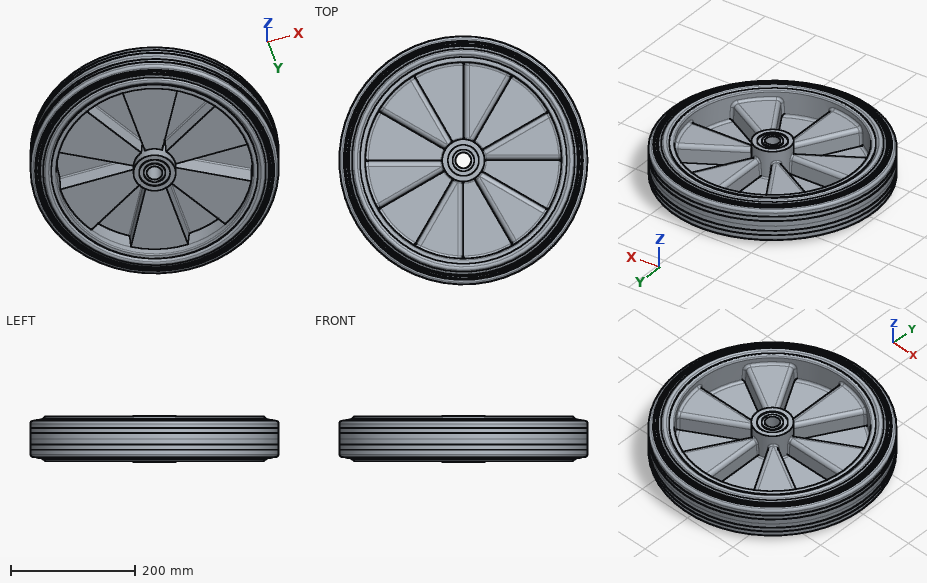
import cadquery as cq
import math


tyre_radius = 200.0
tyre_inner_radius = 166.5
shoulder_radius = 5.0
shoulder_height = 24.6
sidewall_slope = math.tan(math.radians(10.0))
sidewall_top_radius = 196.0
sidewall_top_height = 29.2
bead_height = 36.4
bead_peak_radius = 173.8
bead_inner_radius = 171.0
bead_inner_height = 35.4
bead_outer_radius = 177.0
bead_outer_height = 35.2
bead_foot_radius = 181.9
bead_foot_width = 2.4
bead_foot_rise = 1.0
tyre_lip_height = 31.8
tread_groove_heights = (9.2, 17.5)
tread_groove_width = 0.6
tread_groove_depth = 0.5
sidewall_groove_radii = (185.6, 191.2)
sidewall_groove_width = 2.8
sidewall_groove_depth = 1.0

rim_half_width = 33.7
rim_inner_radius = 158.0
rim_edge_round = 2.0
hub_half_width = 37.5
hub_radius = 34.0
bore_radius = 12.5
hub_recess_inner_radius = 17.5
hub_recess_outer_radius = 25.0
hub_recess_depth = 2.0

sector_count = 6
sector_angle = 180.0 / sector_count
first_raised_angle = 15.0
raised_top = 18.7
low_top = -13.3
web_thickness = raised_top + low_top
step_draft = 3.5
step_round = 7.5
rim_fillet = 4.5
hub_fillet = 2.5

tolerance = 0.05


def sidewall_height(radius):
    """Height of the sloping sidewall at a radius."""
    return sidewall_top_height + (sidewall_top_radius - radius) * sidewall_slope


def make_half_tyre():
    """Upper half of the tyre, from its middle plane to the top of the bead."""
    profile = cq.Workplane("XZ").moveTo(tyre_inner_radius, 0).lineTo(tyre_radius, 0)
    for height in tread_groove_heights:
        profile = (
            profile.lineTo(tyre_radius, height - tread_groove_width / 2)
            .lineTo(tyre_radius - tread_groove_depth, height)
            .lineTo(tyre_radius, height + tread_groove_width / 2)
        )
    profile = profile.lineTo(tyre_radius, shoulder_height).radiusArc(
        (sidewall_top_radius, sidewall_top_height), -shoulder_radius
    )
    for radius in reversed(sidewall_groove_radii):
        outer = radius + sidewall_groove_width / 2
        inner = radius - sidewall_groove_width / 2
        profile = (
            profile.lineTo(outer, sidewall_height(outer))
            .lineTo(radius, sidewall_height(radius) - sidewall_groove_depth)
            .lineTo(inner, sidewall_height(inner))
        )
    foot_height = sidewall_height(bead_foot_radius)
    profile = (
        profile.lineTo(bead_foot_radius, foot_height)
        .lineTo(bead_foot_radius - bead_foot_width, foot_height + bead_foot_rise)
        .lineTo(bead_outer_radius, bead_outer_height)
        .threePointArc((bead_peak_radius, bead_height), (bead_inner_radius, bead_inner_height))
        .lineTo(tyre_inner_radius, tyre_lip_height)
        .close()
    )
    return profile.revolve(360, (0, 0, 0), (0, 1, 0))


def make_tyre():
    upper = make_half_tyre()
    return upper.union(upper.mirror("XY"))


def make_ring(outer, inner, bottom, top):
    ring = cq.Workplane("XY").workplane(offset=bottom).circle(outer).circle(inner)
    return ring.extrude(top - bottom)


def make_wedge(bottom, top, inset, top_round):
    """Wedge along +X with drafted sides, set in from the radial lines, and rounded top edges."""
    half_angle = math.radians(sector_angle / 2)
    tip = inset / math.sin(half_angle)
    end = tip + tyre_radius
    half_width = tyre_radius * math.tan(half_angle)
    wedge = (
        cq.Workplane("XY").workplane(offset=bottom)
        .polyline([(tip, 0), (end, -half_width), (end, half_width)]).close()
        .extrude(top - bottom, taper=step_draft)
    )
    return wedge.faces(">Z").edges("not >X").fillet(top_round)


def around_wheel(shape):
    """Copies of a shape that lies along +X, one for each raised sector."""
    copies = [
        shape.rotate((0, 0, 0), (0, 0, 1), first_raised_angle + index * 360.0 / sector_count).val()
        for index in range(sector_count)
    ]
    return shape.newObject(copies)


def step_edges(body, radius):
    """Edges on a cylinder of the given radius that rise above the low web face, up to the raised one."""
    found = []
    for edge in body.edges().vals():
        points = [edge.positionAt(t) for t in (0, 0.3, 0.5, 1)]
        highest = max(point.z for point in points)
        on_cylinder = all(abs(math.hypot(point.x, point.y) - radius) < tolerance for point in points)
        if on_cylinder and low_top + tolerance < highest < raised_top + tolerance:
            found.append(edge)
    return found


def make_floor_fillet(wall_radius, size, direction):
    """Ring filling the corner between the low web face and a wall; direction points out of the wall."""
    foot_radius = wall_radius + direction * size
    inside_wall = wall_radius - direction * size
    under_floor = low_top - web_thickness / 2
    return (
        cq.Workplane("XZ").moveTo(inside_wall, under_floor)
        .lineTo(inside_wall, low_top + size).lineTo(wall_radius, low_top + size)
        .radiusArc((foot_radius, low_top), -direction * size)
        .lineTo(foot_radius, under_floor).close()
        .revolve(360, (0, 0, 0), (0, 1, 0))
    )


def make_core_blank():
    """Rim, low web and hub before the raised sectors are added."""
    rim = make_ring(tyre_inner_radius, rim_inner_radius, -rim_half_width, rim_half_width)
    inner_edges = cq.selectors.RadiusNthSelector(0)
    rim = rim.faces("|Z").edges(inner_edges).fillet(rim_edge_round)
    web = make_ring(rim_inner_radius + rim_fillet, bore_radius, low_top - web_thickness, low_top)
    hub = make_ring(hub_radius, bore_radius, -hub_half_width, hub_half_width)
    return rim.union(web).union(hub)


def add_raised_sectors(core):
    block = make_wedge(low_top - web_thickness / 2, raised_top, 0, step_round)
    reach = make_ring(rim_inner_radius + rim_fillet, hub_radius - hub_fillet, low_top, raised_top)
    return core.union(around_wheel(block.intersect(reach)))


def cut_underside_pockets(core):
    """Hollow out each raised sector from below, leaving walls as thick as the web."""
    bottom = low_top - web_thickness
    top = raised_top - web_thickness
    pocket = make_wedge(bottom, top, web_thickness, step_round - web_thickness)
    reach = make_ring(rim_inner_radius, hub_radius, bottom, top)
    return core.cut(around_wheel(pocket.intersect(reach)))


def fillet_web_corners(core):
    """Round the corners where the upper side of the web meets the rim and the hub."""
    for wall_radius, size in ((rim_inner_radius, rim_fillet), (hub_radius, hub_fillet)):
        core = core.newObject(step_edges(core, wall_radius)).fillet(size)
    core = core.union(make_floor_fillet(rim_inner_radius, rim_fillet, -1))
    return core.union(make_floor_fillet(hub_radius, hub_fillet, 1))


def cut_hub_recesses(core):
    """Shallow ring around the bore on each end of the hub."""
    floor = hub_half_width - hub_recess_depth
    recess = make_ring(hub_recess_outer_radius, hub_recess_inner_radius, floor, hub_half_width)
    return core.cut(recess).cut(recess.mirror("XY"))


def make_core():
    core = cut_hub_recesses(make_core_blank())
    core = fillet_web_corners(add_raised_sectors(core))
    return cut_underside_pockets(core)


tyre = make_tyre()
core = make_core()

result = cq.Compound.makeCompound([tyre.val(), core.val()])